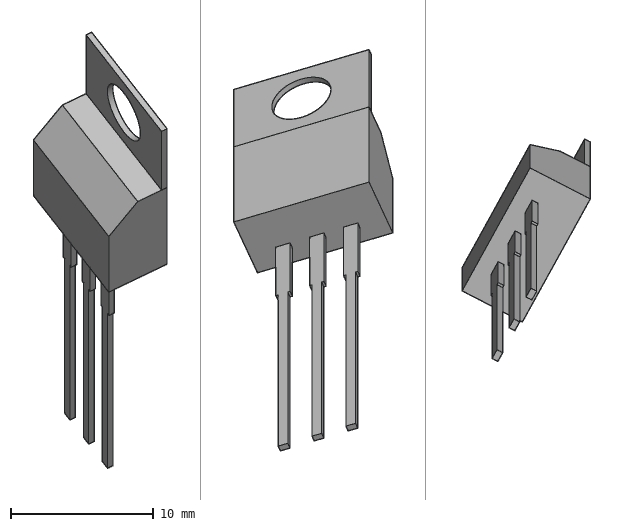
import cadquery as cq

total_height = 38.53
width = 10.17
housing_depth = 4.8
housing_height = 8.7
housing_chamfer = 2.4

tab_height = 6.65
tab_thickness = 0.45
hole_diameter = 4.45

lead_count = 3
lead_pitch = 2.55
lead_length = total_height - housing_height - tab_height
lead_thickness = 0.45
lead_setback = 3.12
shoulder_width = 1.08
shoulder_length = 5.63
tail_width = 0.75


def make_housing():
    """Block with a sloped upper front edge."""
    block = cq.Workplane("XY").box(width, housing_depth, housing_height, centered=(True, False, False))
    block = block.translate((0, -housing_depth, 0))
    return block.faces(">Z").edges("<Y").chamfer(housing_chamfer)


def make_tab():
    """Thin plate with a central mounting hole, flush with the housing back."""
    plate = cq.Workplane("XY").box(width, tab_thickness, tab_height, centered=(True, False, False))
    plate = plate.translate((0, -tab_thickness, housing_height))
    return plate.faces("<Y").workplane(centerOption="CenterOfBoundBox").hole(hole_diameter)


def make_lead(x):
    """Stepped flat lead hanging from the housing underside at the given X."""
    shoulder = cq.Workplane("XY").box(
        shoulder_width, lead_thickness, shoulder_length, centered=(True, False, False)
    ).translate((0, 0, -shoulder_length))
    tail = cq.Workplane("XY").box(
        tail_width, lead_thickness, lead_length - shoulder_length, centered=(True, False, False)
    ).translate((0, 0, -lead_length))
    return shoulder.union(tail).translate((x, -lead_setback - lead_thickness, 0))


housing = make_housing().solids().val()
tab = make_tab().solids().val()
leads = []
for index in range(lead_count):
    lead_x = (index - (lead_count - 1) / 2) * lead_pitch
    leads.append(make_lead(lead_x).solids().val())

result = cq.Compound.makeCompound([housing, tab, *leads])